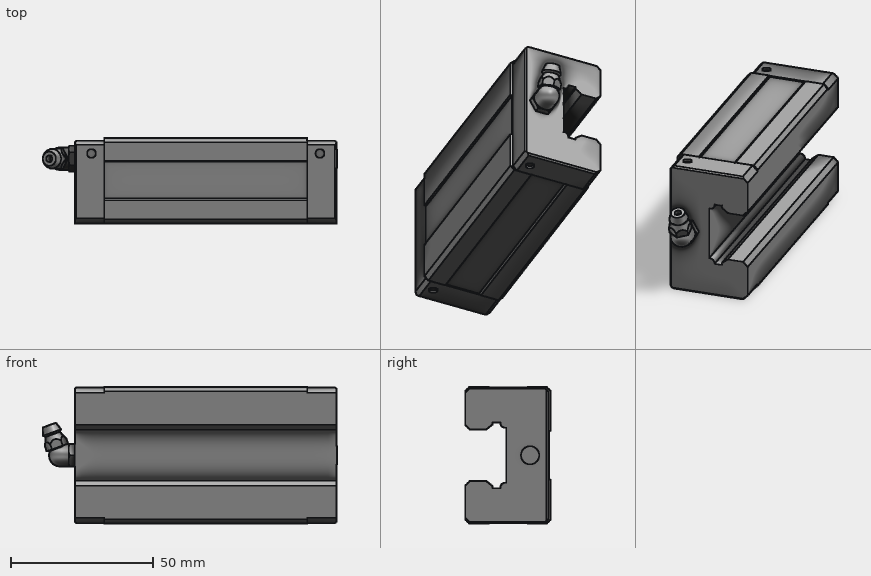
import cadquery as cq
import math

BLOCK_LENGTH = 92.0
BLOCK_HEIGHT = 48.0
BODY_DEPTH = 30.2
BODY_CHAMFER = 1.5

CAP_LENGTH = 10.3
CAP_DEPTH = 29.2
CAP_HEIGHT = 47.8
CAP_BACK_CHAMFER = 1.5
CAP_FRONT_CHAMFER = 2.0
CAP_END_BEVEL = 0.6
CAP_HOLE_DIAMETER = 3.1
CAP_HOLE_DEPTH = 1.0
CAP_HOLE_INSET = 5.85
CAP_HOLE_Y = 24.7

BACK_RECESS_DEPTH = 0.6
BACK_RECESS_HALF_HEIGHT = 8.7
BACK_RECESS_SLOPE = 0.3
SIDE_RECESS_DEPTH = 0.6
SIDE_RECESS_LOW_Y = 8.3
SIDE_RECESS_HIGH_Y = 22.1
SIDE_RECESS_LOW_SLOPE = 0.7
SIDE_RECESS_HIGH_SLOPE = 0.3

SLOT_HALF_HEIGHT = 9.0
SLOT_MOUTH_CHAMFER = 1.7
SLOT_FLOOR_Y = 14.4
SLOT_FLOOR_HALF_HEIGHT = 9.6
RACE_START_Y = 7.4
RACE_END_Y = 9.7
RACE_END_HALF_HEIGHT = 10.8
GROOVE_HALF_HEIGHT = 11.5
GROOVE_FLOOR_Y = 12.4
NOSE_Y = 12.95
NOSE_HALF_HEIGHT = 10.1

PORT_Y = 22.85
PLUG_DIAMETER = 6.4
PLUG_HEIGHT = 0.3
BASE_HEX_FLATS = 8.0
BASE_HEX_LENGTH = 2.2
BASE_HEX_CORNER_DROP = 0.4
ELBOW_DIAMETER = 8.0
ELBOW_REACH = 5.1
TILT_DEGREES = 20.0
HEAD_HEX_FLATS = 7.0
HEAD_HEX_BOTTOM = 2.9
HEAD_HEX_CORNER_TOP = 4.8
SHOULDER_RADIUS = 3.0
SHOULDER_TOP = 7.1
NECK_RADIUS = 2.7
NECK_HEIGHT = 7.8
TIP_BASE_RADIUS = 3.4
TIP_BASE_HEIGHT = 8.5
TIP_RADIUS = 2.5
TIP_HEIGHT = 11.3
TIP_HOLE_DIAMETER = 2.3
TIP_HOLE_DEPTH = 4.0

HALF_LENGTH = BLOCK_LENGTH / 2
HALF_HEIGHT = BLOCK_HEIGHT / 2
BODY_LENGTH = BLOCK_LENGTH - 2 * CAP_LENGTH
HEX_CORNER_RATIO = 2 / math.sqrt(3)


def chamfered_bar(length, depth, height, back_chamfer, front_chamfer):
    """Bar along X, centred on X and Z, with its four long edges chamfered."""
    bar = cq.Workplane("XY").box(length, depth, height, centered=(True, False, True))
    bar = bar.edges("|X and >Y").chamfer(back_chamfer)
    return bar.edges("|X and <Y").chamfer(front_chamfer)


def make_body():
    body = chamfered_bar(BODY_LENGTH, BODY_DEPTH, BLOCK_HEIGHT, BODY_CHAMFER, BODY_CHAMFER)
    back_floor = BODY_DEPTH - BACK_RECESS_DEPTH
    back_floor_half = BACK_RECESS_HALF_HEIGHT - BACK_RECESS_SLOPE
    back_recess = (
        cq.Workplane("YZ")
        .moveTo(BODY_DEPTH, -BACK_RECESS_HALF_HEIGHT)
        .lineTo(back_floor, -back_floor_half)
        .lineTo(back_floor, back_floor_half)
        .lineTo(BODY_DEPTH, BACK_RECESS_HALF_HEIGHT)
        .close()
        .extrude(BODY_LENGTH / 2, both=True)
    )
    side_floor = HALF_HEIGHT - SIDE_RECESS_DEPTH
    side_recess = (
        cq.Workplane("YZ")
        .moveTo(SIDE_RECESS_LOW_Y, HALF_HEIGHT)
        .lineTo(SIDE_RECESS_LOW_Y + SIDE_RECESS_LOW_SLOPE, side_floor)
        .lineTo(SIDE_RECESS_HIGH_Y - SIDE_RECESS_HIGH_SLOPE, side_floor)
        .lineTo(SIDE_RECESS_HIGH_Y, HALF_HEIGHT)
        .close()
        .extrude(BODY_LENGTH / 2, both=True)
    )
    return body.cut(back_recess).cut(side_recess).cut(side_recess.mirror("XY"))


def make_caps():
    """Both end caps, as one full-length bar with its middle removed."""
    caps = chamfered_bar(BLOCK_LENGTH, CAP_DEPTH, CAP_HEIGHT, CAP_BACK_CHAMFER, CAP_FRONT_CHAMFER)
    envelope = cq.Workplane("XY").box(
        BLOCK_LENGTH, CAP_DEPTH, CAP_HEIGHT, centered=(True, False, True)
    )
    envelope = envelope.edges("(|Y and (<X or >X)) or (|Z and >Y)").chamfer(CAP_END_BEVEL)
    caps = caps.intersect(envelope)
    middle = cq.Workplane("XY").box(
        BODY_LENGTH, 2 * BODY_DEPTH, BLOCK_HEIGHT, centered=(True, True, True)
    )
    hole_x = HALF_LENGTH - CAP_HOLE_INSET
    for side in (-1, 1):
        holes = (
            cq.Workplane("XY", origin=(0, CAP_HOLE_Y, side * CAP_HEIGHT / 2))
            .pushPoints([(-hole_x, 0), (hole_x, 0)])
            .circle(CAP_HOLE_DIAMETER / 2)
            .extrude(-side * CAP_HOLE_DEPTH)
        )
        caps = caps.cut(holes)
    return caps.cut(middle)


def make_rail_slot():
    upper_half = (
        cq.Workplane("YZ")
        .lineTo(0, SLOT_HALF_HEIGHT + SLOT_MOUTH_CHAMFER)
        .lineTo(SLOT_MOUTH_CHAMFER, SLOT_HALF_HEIGHT)
        .lineTo(RACE_START_Y, SLOT_HALF_HEIGHT)
        .lineTo(RACE_END_Y, RACE_END_HALF_HEIGHT)
        .lineTo(RACE_END_Y, GROOVE_HALF_HEIGHT)
        .lineTo(GROOVE_FLOOR_Y, GROOVE_HALF_HEIGHT)
        .threePointArc((NOSE_Y, NOSE_HALF_HEIGHT), (SLOT_FLOOR_Y, SLOT_FLOOR_HALF_HEIGHT))
        .lineTo(SLOT_FLOOR_Y, 0)
        .close()
        .extrude(HALF_LENGTH, both=True)
    )
    return upper_half.union(upper_half.mirror("XY"))


def make_plug():
    return (
        cq.Workplane("YZ", origin=(HALF_LENGTH, PORT_Y, 0))
        .circle(PLUG_DIAMETER / 2)
        .extrude(PLUG_HEIGHT)
    )


def make_elbow():
    """Hexagon and round-ended elbow standing out of the -X end."""
    hexagon = (
        cq.Workplane("YZ", origin=(-HALF_LENGTH, PORT_Y, 0))
        .polygon(6, BASE_HEX_FLATS * HEX_CORNER_RATIO)
        .extrude(-BASE_HEX_LENGTH)
    )
    corner_radius = BASE_HEX_FLATS * HEX_CORNER_RATIO / 2
    hex_envelope = (
        cq.Workplane("XY", origin=(-HALF_LENGTH, PORT_Y, 0))
        .lineTo(0, corner_radius)
        .lineTo(-BASE_HEX_LENGTH + BASE_HEX_CORNER_DROP, corner_radius)
        .lineTo(-BASE_HEX_LENGTH, BASE_HEX_FLATS / 2)
        .lineTo(-BASE_HEX_LENGTH, 0)
        .close()
        .revolve(360, (0, 0), (1, 0))
    )
    radius = ELBOW_DIAMETER / 2
    diagonal = radius * math.sqrt(0.5)
    round_ended_shank = (
        cq.Workplane("XY", origin=(-HALF_LENGTH, PORT_Y, 0))
        .lineTo(0, radius)
        .lineTo(-ELBOW_REACH, radius)
        .threePointArc((-ELBOW_REACH - diagonal, diagonal), (-ELBOW_REACH - radius, 0))
        .close()
        .revolve(360, (0, 0), (1, 0))
    )
    return hexagon.intersect(hex_envelope).union(round_ended_shank)


def make_nipple_head():
    """Head built upright from the centre of the elbow's ball, then tilted towards -X."""
    hexagon = (
        cq.Workplane("XY", origin=(0, 0, HEAD_HEX_BOTTOM))
        .polygon(6, HEAD_HEX_FLATS * HEX_CORNER_RATIO)
        .extrude(SHOULDER_TOP - HEAD_HEX_BOTTOM)
    )
    corner_radius = HEAD_HEX_FLATS * HEX_CORNER_RATIO / 2
    hex_envelope = (
        cq.Workplane("XZ")
        .lineTo(corner_radius, 0)
        .lineTo(corner_radius, HEAD_HEX_CORNER_TOP)
        .lineTo(SHOULDER_RADIUS, SHOULDER_TOP)
        .lineTo(0, SHOULDER_TOP)
        .close()
        .revolve(360, (0, 0), (0, 1))
    )
    core_and_tip = (
        cq.Workplane("XZ")
        .lineTo(SHOULDER_RADIUS, 0)
        .lineTo(SHOULDER_RADIUS, SHOULDER_TOP)
        .lineTo(NECK_RADIUS, NECK_HEIGHT)
        .lineTo(TIP_BASE_RADIUS, TIP_BASE_HEIGHT)
        .lineTo(TIP_RADIUS, TIP_HEIGHT)
        .lineTo(0, TIP_HEIGHT)
        .close()
        .revolve(360, (0, 0), (0, 1))
    )
    hole = (
        cq.Workplane("XY", origin=(0, 0, TIP_HEIGHT))
        .circle(TIP_HOLE_DIAMETER / 2)
        .extrude(-TIP_HOLE_DEPTH)
    )
    head = hexagon.intersect(hex_envelope).union(core_and_tip).cut(hole)
    head = head.rotate((0, 0, 0), (0, 1, 0), -TILT_DEGREES)
    return head.translate((-HALF_LENGTH - ELBOW_REACH, PORT_Y, 0))


block = make_body().union(make_caps()).cut(make_rail_slot())
result = block.union(make_plug()).union(make_elbow()).union(make_nipple_head())